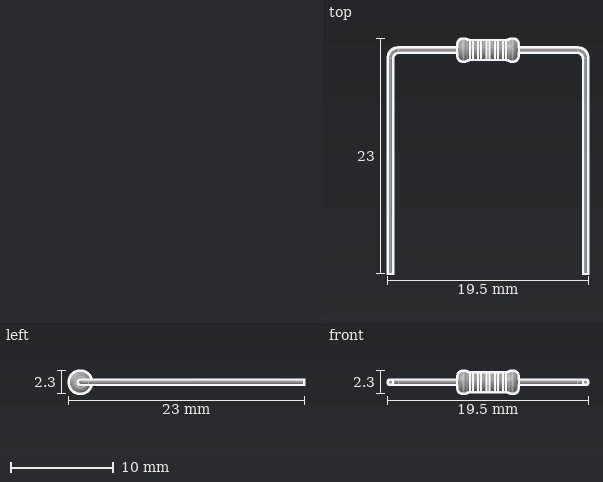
import cadquery as cq
import math

span_x = 19.53
span_y = 22.95

cap_radius = 1.15
barrel_radius = 0.99
body_half_length = 3.0
end_rounding = 0.6
crest_width = 0.1
barrel_half_length = 1.77

band_count = 5
band_width = 0.3
band_depth = 0.07
band_pitch = (2 * barrel_half_length - band_width) / (band_count - 1)

wire_radius = 0.28
bend_radius = 0.78
leg_x = span_x / 2 - wire_radius
leg_end_y = cap_radius - span_y

crest_outer = body_half_length - end_rounding
crest_inner = crest_outer - crest_width
shoulder_run = (crest_inner - barrel_half_length) / 2
shoulder_drop = (cap_radius - barrel_radius) / 2
shoulder_x = barrel_half_length + shoulder_run
shoulder_radius = barrel_radius + shoulder_drop
shoulder_arc = (shoulder_run**2 + shoulder_drop**2) / (2 * shoulder_drop)
half_angle = math.asin(shoulder_run / shoulder_arc) / 2
arc_mid_run = shoulder_arc * math.sin(half_angle)
arc_mid_drop = shoulder_arc * (1 - math.cos(half_angle))
rounding_mid = end_rounding * math.sqrt(0.5)


def make_band(center_x):
    """Ring around the barrel, flush with its surface."""
    return (
        cq.Workplane("YZ", origin=(center_x - band_width / 2, 0, 0))
        .circle(barrel_radius)
        .circle(barrel_radius - band_depth)
        .extrude(band_width)
    )


def make_half_body():
    """The +X half of the body, turned about the X axis."""
    return (
        cq.Workplane("XY")
        .lineTo(0, barrel_radius)
        .lineTo(barrel_half_length, barrel_radius)
        .threePointArc(
            (barrel_half_length + arc_mid_run, barrel_radius + arc_mid_drop),
            (shoulder_x, shoulder_radius),
        )
        .threePointArc(
            (crest_inner - arc_mid_run, cap_radius - arc_mid_drop),
            (crest_inner, cap_radius),
        )
        .lineTo(crest_outer, cap_radius)
        .threePointArc(
            (crest_outer + rounding_mid, cap_radius - end_rounding + rounding_mid),
            (body_half_length, cap_radius - end_rounding),
        )
        .lineTo(body_half_length, 0)
        .close()
        .revolve(360, (0, 0, 0), (1, 0, 0))
    )


def make_body(bands):
    """Barrel with a swollen cap at each end and a groove for every band."""
    half = make_half_body()
    body = half.union(half.mirror("YZ"))
    for band in bands:
        body = body.cut(band)
    return body


def make_lead():
    """The +X lead: straight out of the body, one bend, then a long leg."""
    bend_start_x = leg_x - bend_radius
    bend_mid = bend_radius * math.sqrt(0.5)
    path = (
        cq.Workplane("XY")
        .moveTo(body_half_length, 0)
        .lineTo(bend_start_x, 0)
        .threePointArc((bend_start_x + bend_mid, bend_mid - bend_radius), (leg_x, -bend_radius))
        .lineTo(leg_x, leg_end_y)
    )
    return cq.Workplane("YZ", origin=(body_half_length, 0, 0)).circle(wire_radius).sweep(path)


bands = []
for i in range(band_count):
    bands.append(make_band((i - (band_count - 1) / 2) * band_pitch))

body = make_body(bands)
right_lead = make_lead()
left_lead = right_lead.mirror("YZ")

result = cq.Compound.makeCompound(
    [body.solids().val(), right_lead.val(), left_lead.val(), *[band.val() for band in bands]]
)